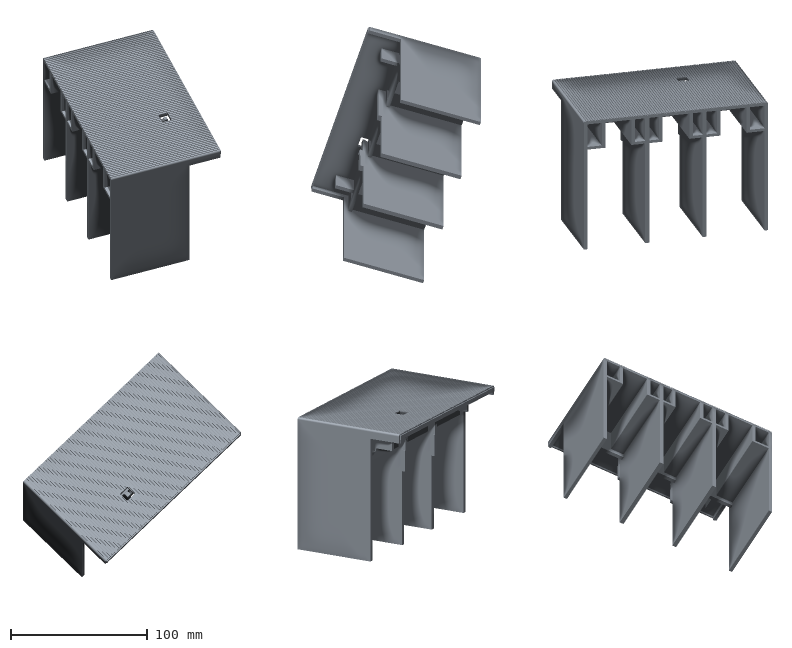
import cadquery as cq


width = 140.0
plate_length = 85.4
overall_length = 86.2
height = 101.0
wall = 2.7
top_edge_radius = 1.5

groove_count = 77
groove_span = 136.8
groove_width = 0.5
groove_depth = 0.5
groove_pitch = groove_span / (groove_count - 1)

panel_length = 61.3
side_inner_x = width / 2 - wall
divider_width = 3.1
divider_x = 21.8
divider_inner_x = divider_x - divider_width / 2
divider_outer_x = divider_x + divider_width / 2
side_rail_depth = 6.9

channel_floor_top = 20.5
channel_floor_bottom = 22.5
outer_channel_inner_x = 56.4
bay_channel_outer_x = 31.2
middle_channel_inner_x = 12.9

cross_wall_back = 58.1
cross_wall_depth = 26.2
window_top = 5.2
window_reveal = 2.5
side_window_x = 61.6

rib_back = 71.8
rib_depth = 18.3

tail_back = 64.0
clip_top = 27.9
clip_bottom = 44.1
clip_width = 4.2

lip_inset = 1.0
lip_top = 1.05
lip_bottom = 4.3
lip_foot_projection = 0.4

latch_x = 22.3
latch_width = 7.8
latch_front = 56.5
latch_drop = 0.5
high_step_depth = 1.3
high_step_back = 62.0
low_step_depth = 18.3
trough_y = 58.5
trough_radius = 1.3
bead_y = 62.9
bead_depth = 19.9
bead_radius = 1.7


def block(x_start, x_end, y_start, y_end, depth_top, depth_bottom):
    """Box between two X, two Y and two depths below the top face."""
    size = (x_end - x_start, y_end - y_start, depth_bottom - depth_top)
    return cq.Workplane("XY").box(*size, centered=False).translate((x_start, y_start, -depth_bottom))


def on_both_sides(shape):
    """The shape together with its mirror image across X = 0."""
    return shape.union(shape.mirror("YZ"))


def channel(wall_x, panel_x):
    """Upright at wall_x and a floor reaching from it to the panel at panel_x."""
    towards_bay = wall if wall_x > panel_x else -wall
    upright_start, upright_end = sorted((wall_x, wall_x + towards_bay))
    upright = block(upright_start, upright_end, 0, cross_wall_back, wall, channel_floor_bottom)
    floor_start, floor_end = sorted((wall_x, panel_x))
    floor = block(floor_start, floor_end, 0, cross_wall_back, channel_floor_top, channel_floor_bottom)
    return upright.union(floor)


def divider_rod(y, depth, radius):
    """Round rod along X, as long as the right-hand divider is wide."""
    rod = cq.Workplane("YZ").center(y, -depth).circle(radius).extrude(divider_width)
    return rod.translate((divider_inner_x, 0, 0))


plate = block(-width / 2, width / 2, 0, plate_length, 0, wall)
side_panel = block(side_inner_x, width / 2, 0, panel_length, 0, height)
side_rail = block(side_inner_x, width / 2, 0, plate_length, 0, side_rail_depth)
body = plate.union(on_both_sides(side_panel.union(side_rail)))
body = body.edges("|Y and >Z").fillet(top_edge_radius)

divider = block(divider_inner_x, divider_outer_x, 0, panel_length, wall, height)
tail = block(divider_inner_x, divider_outer_x, panel_length, tail_back, wall, clip_bottom)
clip = block(
    divider_x - clip_width / 2, divider_x + clip_width / 2, panel_length, tail_back, clip_top, clip_bottom
)
body = body.union(on_both_sides(divider.union(tail).union(clip)))

cross_wall = block(
    -side_inner_x, side_inner_x, cross_wall_back - wall, cross_wall_back, wall, cross_wall_depth
)
window_spans = (
    (outer_channel_inner_x, side_window_x),
    (divider_outer_x + window_reveal, bay_channel_outer_x),
    (middle_channel_inner_x, divider_inner_x - window_reveal),
)
for span_start, span_end in window_spans:
    window = block(span_start, span_end, 0, cross_wall_back, window_top, channel_floor_top)
    cross_wall = cross_wall.cut(on_both_sides(window))
body = body.union(cross_wall)

channel_places = (
    (outer_channel_inner_x, side_inner_x),
    (bay_channel_outer_x, divider_outer_x),
    (middle_channel_inner_x, divider_inner_x),
)
for wall_x, panel_x in channel_places:
    body = body.union(on_both_sides(channel(wall_x, panel_x)))

rib = block(outer_channel_inner_x - wall, outer_channel_inner_x, cross_wall_back, rib_back, wall, rib_depth)
body = body.union(on_both_sides(rib))

lip_end_x = width / 2 - lip_inset
lip = block(-lip_end_x, lip_end_x, plate_length, overall_length, lip_top, lip_bottom)
lip_foot = block(
    side_inner_x, lip_end_x, plate_length, plate_length + lip_foot_projection, lip_top, side_rail_depth
)
body = body.union(lip).union(on_both_sides(lip_foot))

latch_opening = (
    cq.Workplane("YZ")
    .polyline([
        (latch_front, 0),
        (tail_back, 0),
        (tail_back, -low_step_depth),
        (cross_wall_back, -low_step_depth),
        (cross_wall_back, -wall),
        (latch_front, -wall - latch_drop),
    ])
    .close()
    .extrude(latch_width / 2, both=True)
    .translate((latch_x, 0, 0))
)
high_step = block(
    divider_inner_x, divider_outer_x, cross_wall_back, high_step_back, high_step_depth, low_step_depth
)
trough = divider_rod(trough_y, high_step_depth, trough_radius)
bead = divider_rod(bead_y, bead_depth, bead_radius)
body = body.cut(latch_opening).union(high_step).cut(trough).union(bead)

groove_cutters = (
    cq.Workplane("XY")
    .rarray(groove_pitch, 1.4, groove_count, 1)
    .rect(groove_width, 2 * plate_length)
    .extrude(-groove_depth)
)
result = body.cut(groove_cutters)